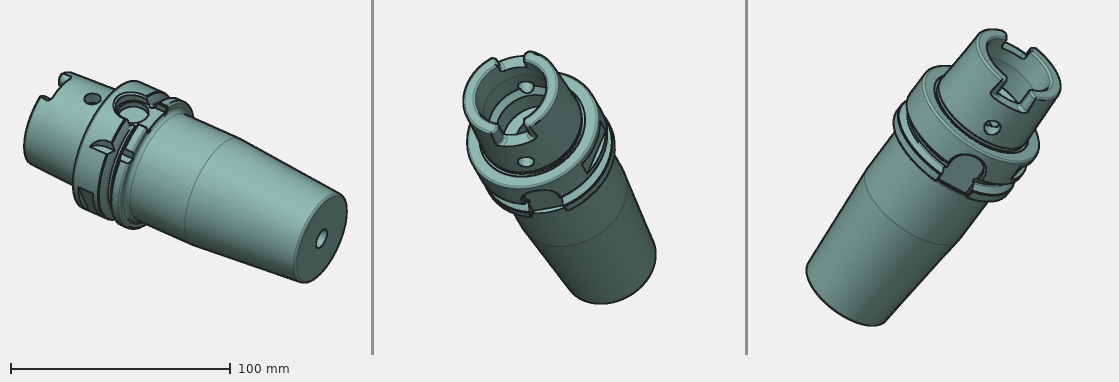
import cadquery as cq
import math


SHANK_LENGTH = 32.0
SHANK_TIP_RADIUS = 22.8
SHANK_BASE_RADIUS = 24.2
TIP_ROUNDING = 1.0
UNDERCUT_RADIUS = 23.8
UNDERCUT_START = -1.5
FACE_RECESS_RADIUS = 25.3
FACE_RECESS_DEPTH = 0.5

FLANGE_RADIUS = 31.5
FLANGE_LENGTH = 26.0
FLANGE_FRONT_ROUNDING = 1.0
FLANGE_BACK_ROUNDING = 1.0
GROOVE_CENTER = 17.8
GROOVE_FLOOR_RADIUS = 27.4
GROOVE_FLOOR_WIDTH = 2.4
GROOVE_MOUTH_WIDTH = 6.8
GROOVE_FLOOR_ROUNDING = 0.9
GROOVE_MOUTH_BREAK = 0.3

NOSE_END = 115.0
NOSE_RADIUS = 26.5
NOSE_END_RADIUS = 22.0
NOSE_TAPER = math.radians(4.5)
NOSE_ROOT_ROUNDING = 2.2
NOSE_END_ROUNDING = 1.2

BORE_RADIUS = 17.0
BORE_CYLINDER_END = -19.6
BORE_FLOOR_RADIUS = 15.6
BORE_UNDERCUT_RADIUS = 18.5
UNDERCUT_END = -7.4
BORE_CONE_END = -4.5
BORE_FLOOR = 5.0
SOCKET_RADIUS = 9.1
SOCKET_DEPTH = 12.0
THROUGH_RADIUS = 4.6

TIP_SLOT_HALF_WIDTH = 6.27
TIP_SLOT_SHOULDER_HEIGHT = 20.9
TIP_SLOT_FLARE = 3.0
TIP_SLOT_FLOOR_ROUNDING = 1.5
TOP_TIP_SLOT_DEPTH = 6.0
BOTTOM_TIP_SLOT_DEPTH = 9.8
TIP_ZONE_LENGTH = 15.0
TIP_RIM_REACH = 30.0

CROSS_HOLE_RADIUS = 3.75
CROSS_HOLE_X = -9.1

KEY_SLOT_HALF_WIDTH = 8.0
KEY_SLOT_FLOOR_HEIGHT = 26.5
KEY_SLOT_END_CENTER = 12.9
KEY_SLOT_FRONT_CHAMFER = 1.05
KEY_SLOT_BACK_CHAMFER = 0.65
CHIP_HOLE_RADIUS = 7.0
CHIP_HOLE_DEPTH = 3.0

NOTCH_OFFSET = 20.2
NOTCH_CUTTER_RADIUS = 8.0
NOTCH_CUTTER_CENTER = 12.0
FLAT_START = 3.5
FLAT_LENGTH = 7.95
FLAT_HALF_ANGLE = 22.0

OVERSIZE = 40.0
TOLERANCE = 0.01


def revolve(profile):
    return profile.close().revolve(360, (0, 0, 0), (1, 0, 0))


def outer_body():
    cone_start = NOSE_END - (NOSE_RADIUS - NOSE_END_RADIUS) / math.tan(NOSE_TAPER)
    shank = revolve(
        cq.Workplane("XY")
        .moveTo(-SHANK_LENGTH, 0)
        .lineTo(-SHANK_LENGTH, SHANK_TIP_RADIUS)
        .lineTo(UNDERCUT_START, SHANK_BASE_RADIUS)
        .lineTo(UNDERCUT_START + SHANK_BASE_RADIUS - UNDERCUT_RADIUS, UNDERCUT_RADIUS)
        .lineTo(FACE_RECESS_DEPTH, UNDERCUT_RADIUS)
        .lineTo(FACE_RECESS_DEPTH, 0)
    )
    flange = revolve(
        cq.Workplane("XY")
        .lineTo(0, FLANGE_RADIUS)
        .lineTo(FLANGE_LENGTH, FLANGE_RADIUS)
        .lineTo(FLANGE_LENGTH, NOSE_RADIUS)
        .lineTo(cone_start, NOSE_RADIUS)
        .lineTo(NOSE_END, NOSE_END_RADIUS)
        .lineTo(NOSE_END, 0)
    )
    shank = shank.faces("<X").edges().fillet(TIP_ROUNDING)
    flange = flange.edges(cq.selectors.RadiusNthSelector(-1)).edges("<X").fillet(FLANGE_FRONT_ROUNDING)
    flange = flange.edges(cq.selectors.RadiusNthSelector(-1)).edges(">X").fillet(FLANGE_BACK_ROUNDING)
    root = cq.selectors.BoxSelector(
        (FLANGE_LENGTH - TOLERANCE, -OVERSIZE, -OVERSIZE), (FLANGE_LENGTH + TOLERANCE, OVERSIZE, OVERSIZE)
    )
    flange = flange.edges(root).edges(cq.selectors.RadiusNthSelector(0)).fillet(NOSE_ROOT_ROUNDING)
    flange = flange.faces(">X").edges().fillet(NOSE_END_ROUNDING)
    recess = cq.Workplane("YZ").circle(FACE_RECESS_RADIUS).extrude(FACE_RECESS_DEPTH)
    return flange.cut(recess).union(shank)


def gripper_groove():
    half_floor = GROOVE_FLOOR_WIDTH / 2
    half_mouth = GROOVE_MOUTH_WIDTH / 2
    section = (
        cq.Sketch()
        .polygon([
            (-half_floor, GROOVE_FLOOR_RADIUS),
            (-half_mouth, FLANGE_RADIUS),
            (half_mouth, FLANGE_RADIUS),
            (half_floor, GROOVE_FLOOR_RADIUS),
            (-half_floor, GROOVE_FLOOR_RADIUS),
        ])
        .vertices("<Y")
        .fillet(GROOVE_FLOOR_ROUNDING)
    )
    plane = cq.Workplane("XY", origin=(GROOVE_CENTER, 0, 0))
    return plane.placeSketch(section).revolve(360, (0, 0, 0), (1, 0, 0))


def groove_mouth_break():
    """Wider, shallow groove that bevels both corners of the gripper groove's mouth."""
    flank_slope = (GROOVE_MOUTH_WIDTH - GROOVE_FLOOR_WIDTH) / 2 / (FLANGE_RADIUS - GROOVE_FLOOR_RADIUS)
    half_outer = GROOVE_MOUTH_WIDTH / 2 + GROOVE_MOUTH_BREAK
    half_inner = GROOVE_MOUTH_WIDTH / 2 - flank_slope * GROOVE_MOUTH_BREAK
    inner_radius = FLANGE_RADIUS - GROOVE_MOUTH_BREAK
    return revolve(
        cq.Workplane("XY")
        .moveTo(GROOVE_CENTER - half_outer, FLANGE_RADIUS)
        .lineTo(GROOVE_CENTER + half_outer, FLANGE_RADIUS)
        .lineTo(GROOVE_CENTER + half_inner, inner_radius)
        .lineTo(GROOVE_CENTER - half_inner, inner_radius)
    )


def inner_bore():
    return revolve(
        cq.Workplane("XY")
        .moveTo(-SHANK_LENGTH, 0)
        .lineTo(-SHANK_LENGTH, BORE_RADIUS)
        .lineTo(BORE_CYLINDER_END, BORE_RADIUS)
        .lineTo(UNDERCUT_END, BORE_UNDERCUT_RADIUS)
        .lineTo(BORE_CONE_END, BORE_FLOOR_RADIUS)
        .lineTo(BORE_FLOOR, BORE_FLOOR_RADIUS)
        .lineTo(BORE_FLOOR, SOCKET_RADIUS)
        .lineTo(BORE_FLOOR + SOCKET_DEPTH, SOCKET_RADIUS)
        .lineTo(BORE_FLOOR + SOCKET_DEPTH, THROUGH_RADIUS)
        .lineTo(NOSE_END, THROUGH_RADIUS)
        .lineTo(NOSE_END, 0)
    )


def tip_slot(depth, side):
    """Slot across the shank tip whose walls flare out to a flat shoulder; side is +1 or -1 along Z."""
    flare_start = TIP_SLOT_SHOULDER_HEIGHT - TIP_SLOT_FLARE
    flare_center = TIP_SLOT_HALF_WIDTH + TIP_SLOT_FLARE
    bulge = TIP_SLOT_FLARE * math.sqrt(0.5)
    slot = (
        cq.Workplane("YZ", origin=(-SHANK_LENGTH - OVERSIZE, 0, 0))
        .moveTo(-TIP_SLOT_HALF_WIDTH, 0)
        .lineTo(-TIP_SLOT_HALF_WIDTH, side * flare_start)
        .threePointArc(
            (-flare_center + bulge, side * (flare_start + bulge)),
            (-flare_center, side * TIP_SLOT_SHOULDER_HEIGHT),
        )
        .lineTo(-OVERSIZE, side * TIP_SLOT_SHOULDER_HEIGHT)
        .lineTo(-OVERSIZE, side * OVERSIZE)
        .lineTo(OVERSIZE, side * OVERSIZE)
        .lineTo(OVERSIZE, side * TIP_SLOT_SHOULDER_HEIGHT)
        .lineTo(flare_center, side * TIP_SLOT_SHOULDER_HEIGHT)
        .threePointArc(
            (flare_center - bulge, side * (flare_start + bulge)),
            (TIP_SLOT_HALF_WIDTH, side * flare_start),
        )
        .lineTo(TIP_SLOT_HALF_WIDTH, 0)
        .close()
        .extrude(OVERSIZE + depth)
    )
    return slot.faces(">X").edges().fillet(TIP_SLOT_FLOOR_ROUNDING)


def key_slot(side):
    """Round-ended slot milled down to a flat floor and open toward the nose."""
    length = FLANGE_LENGTH - KEY_SLOT_END_CENTER
    plane = cq.Workplane("XY", origin=(KEY_SLOT_END_CENTER, 0, side * KEY_SLOT_FLOOR_HEIGHT))
    end = plane.circle(KEY_SLOT_HALF_WIDTH).extrude(side * OVERSIZE)
    run = plane.center(length / 2, 0).rect(length, 2 * KEY_SLOT_HALF_WIDTH).extrude(side * OVERSIZE)
    return end.union(run)


def is_key_slot_rim(edge):
    """True for an edge that runs on the flange's rim along the side or end of a key slot."""
    points = [edge.positionAt(fraction) for fraction in (0, 0.5, 1)]
    on_rim = all(abs(math.hypot(point.y, point.z) - FLANGE_RADIUS) < TOLERANCE for point in points)
    beside_slot = all(abs(point.y) < KEY_SLOT_HALF_WIDTH + TOLERANCE for point in points)
    return on_rim and beside_slot


def chamfer_key_slots(body):
    """Break the rims of both key slots, behind the gripper groove first and then in front of it."""
    back = body.edges().filter(lambda edge: is_key_slot_rim(edge) and edge.Center().x > GROOVE_CENTER)
    body = back.chamfer(KEY_SLOT_BACK_CHAMFER)
    front = body.edges().filter(lambda edge: is_key_slot_rim(edge) and edge.Center().x < GROOVE_CENTER)
    return front.chamfer(KEY_SLOT_FRONT_CHAMFER)


def chip_hole():
    floor = KEY_SLOT_FLOOR_HEIGHT - CHIP_HOLE_DEPTH
    plane = cq.Workplane("XY", origin=(KEY_SLOT_END_CENTER, 0, floor))
    return plane.circle(CHIP_HOLE_RADIUS).extrude(OVERSIZE)


def orientation_notch():
    plane = cq.Workplane("XY", origin=(0, 0, NOTCH_OFFSET))
    cutter_y = -NOTCH_OFFSET - NOTCH_CUTTER_RADIUS
    end = plane.center(NOTCH_CUTTER_CENTER, cutter_y).circle(NOTCH_CUTTER_RADIUS).extrude(OVERSIZE)
    length = FLANGE_LENGTH - NOTCH_CUTTER_CENTER
    run = (
        plane.center(NOTCH_CUTTER_CENTER + length / 2, cutter_y)
        .rect(length, 2 * NOTCH_CUTTER_RADIUS)
        .extrude(OVERSIZE)
    )
    return end.union(run)


def label_flat():
    distance = FLANGE_RADIUS * math.cos(math.radians(FLAT_HALF_ANGLE))
    block = cq.Workplane("XY").box(FLAT_LENGTH, OVERSIZE, OVERSIZE, centered=(False, False, True))
    block = block.translate((FLAT_START, distance, 0))
    return block.rotate((0, 0, 0), (1, 0, 0), 180 + FLAT_HALF_ANGLE)


def cross_hole():
    plane = cq.Workplane("XY", origin=(CROSS_HOLE_X, 0, 0))
    return plane.circle(CROSS_HOLE_RADIUS).extrude(OVERSIZE, both=True)


def tip_cutter():
    """Everything removed from the shank tip: bore mouth and both slots, with their rims rounded."""
    blank = cq.Workplane("YZ", origin=(-SHANK_LENGTH, 0, 0)).circle(OVERSIZE).extrude(TIP_ZONE_LENGTH)
    remaining = blank.cut(inner_bore())
    remaining = remaining.cut(tip_slot(TOP_TIP_SLOT_DEPTH, 1)).cut(tip_slot(BOTTOM_TIP_SLOT_DEPTH, -1))
    rims = remaining.faces("<X").edges(
        cq.selectors.BoxSelector(
            (-SHANK_LENGTH - TOLERANCE, -TIP_RIM_REACH, -TIP_RIM_REACH),
            (-SHANK_LENGTH + TOLERANCE, TIP_RIM_REACH, TIP_RIM_REACH),
        )
    )
    return blank.cut(rims.fillet(TIP_ROUNDING))


result = outer_body().cut(gripper_groove())
for side in (1, -1):
    result = result.cut(key_slot(side))
result = chamfer_key_slots(result).cut(groove_mouth_break())
result = result.cut(inner_bore()).cut(tip_cutter())
result = result.cut(chip_hole()).cut(orientation_notch()).cut(label_flat()).cut(cross_hole())